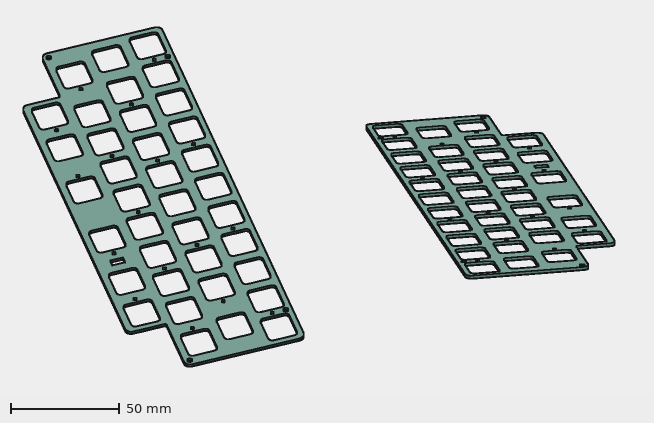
import cadquery as cq

UNIT = 19.05
KEYS_ACROSS = 11
ROW_COUNT = 4
BOTTOM_ROW_UNITS = 8
GRID_SHIFT_Y = 0.42

PLATE_WIDTH = 210.7
PLATE_DEPTH = 77.35
PLATE_THICKNESS = 1.59
OUTER_CORNER_RADIUS = 3.0
INNER_CORNER_RADIUS = 1.0

SWITCH_WIDTH = 14.8
SWITCH_DEPTH = 14.0
SWITCH_CORNER_RADIUS = 2.0

SMALL_HOLE_DIAMETER = 1.6
MOUNT_HOLE_DIAMETER = 2.3
UPPER_MOUNT_X = 4.5 * UNIT
UPPER_MOUNT_INSET = 3.1
LOWER_MOUNT_INSET = 2.9

SLOT_WIDTH = 3.2
SLOT_DEPTH = 6.2
SLOT_X = 31.75

SWITCH_ROWS = [
    [column - 5 for column in range(KEYS_ACROSS)],
    [-4.875] + [column - 3.75 for column in range(8)] + [4.625],
    [-4.625] + [column - 3.25 for column in range(8)] + [4.875],
    [-3.5, -2.375, -0.875, 0.875, 2.375, 3.5],
]
SMALL_HOLE_ROWS = [
    [-4.5, -1.5, 1.5, 4.5],
    [-3.25, -1.25, 1.75, 3.75],
    [-4.125, -1.75, 0.25, 2.25, 4.375],
    [-3.0, -1.375, 1.375, 3.0],
]

HALF_WIDTH = PLATE_WIDTH / 2
HALF_DEPTH = PLATE_DEPTH / 2
EDGE_MARGIN = (PLATE_WIDTH - KEYS_ACROSS * UNIT) / 2
HALF_FOOT = BOTTOM_ROW_UNITS * UNIT / 2 + EDGE_MARGIN
SHOULDER_Y = -UNIT - EDGE_MARGIN


def row_y(row):
    """Y of a row's centre line; row 0 is the top row."""
    return ((ROW_COUNT - 1) / 2 - row) * UNIT + GRID_SHIFT_Y


def grid_points(rows):
    """XY points for rows of X places given in key units."""
    return [(x * UNIT, row_y(row)) for row, places in enumerate(rows) for x in places]


def make_block(width, y_bottom, y_top):
    """Full-thickness block, centred on X."""
    block = cq.Workplane("XY").center(0, (y_bottom + y_top) / 2)
    return block.rect(width, y_top - y_bottom).extrude(PLATE_THICKNESS)


def make_blank():
    """T-shaped plate with rounded outer corners and tighter inner ones."""
    main = make_block(PLATE_WIDTH, SHOULDER_Y, HALF_DEPTH)
    main = main.edges("|Z").fillet(OUTER_CORNER_RADIUS)
    foot = make_block(2 * HALF_FOOT, -HALF_DEPTH, HALF_DEPTH - OUTER_CORNER_RADIUS)
    foot = foot.edges("|Z and <Y").fillet(OUTER_CORNER_RADIUS)
    blank = main.union(foot)
    for side in (-1, 1):
        inner_corner = cq.selectors.NearestToPointSelector(
            (side * HALF_FOOT, SHOULDER_Y, PLATE_THICKNESS / 2)
        )
        blank = blank.edges("|Z").edges(inner_corner).fillet(INNER_CORNER_RADIUS)
    return blank


def make_switch_cutouts():
    """Rounded rectangular opening for every switch."""
    cutouts = cq.Workplane("XY").pushPoints(grid_points(SWITCH_ROWS))
    cutouts = cutouts.rect(SWITCH_WIDTH, SWITCH_DEPTH).extrude(PLATE_THICKNESS)
    return cutouts.edges("|Z").fillet(SWITCH_CORNER_RADIUS)


def make_holes(points, diameter):
    """Round through holes at the given points."""
    return cq.Workplane("XY").pushPoints(points).circle(diameter / 2).extrude(PLATE_THICKNESS)


def make_mount_holes():
    """Two holes along the top edge and one in each shoulder corner."""
    points = []
    for side in (-1, 1):
        points.append((side * UPPER_MOUNT_X, HALF_DEPTH - UPPER_MOUNT_INSET))
        points.append((side * (HALF_WIDTH - LOWER_MOUNT_INSET), SHOULDER_Y + LOWER_MOUNT_INSET))
    return make_holes(points, MOUNT_HOLE_DIAMETER)


def make_slot():
    """Small rectangular opening in the bottom row."""
    slot = cq.Workplane("XY").center(SLOT_X, row_y(ROW_COUNT - 1))
    return slot.rect(SLOT_WIDTH, SLOT_DEPTH).extrude(PLATE_THICKNESS)


result = (
    make_blank()
    .cut(make_switch_cutouts())
    .cut(make_holes(grid_points(SMALL_HOLE_ROWS), SMALL_HOLE_DIAMETER))
    .cut(make_mount_holes())
    .cut(make_slot())
)